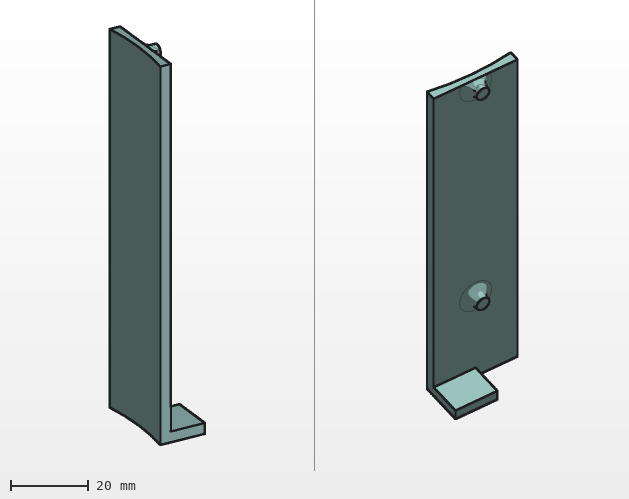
import cadquery as cq

plate_width = 25.9
plate_height = 108.0
plate_thickness = 3.1
hollow_depth = 1.1

overall_depth = 13.3
tab_length = overall_depth - plate_thickness
tab_width = plate_width / 2
tab_thickness = 3.1

peg_length = 3.5
peg_radius = 1.9
peg_fillet = 3.0
upper_peg_height = 105.5
peg_spacing = 76.3
peg_heights = (upper_peg_height, upper_peg_height - peg_spacing)


def make_plate():
    half_width = plate_width / 2
    return (
        cq.Workplane("XY")
        .moveTo(-half_width, plate_thickness)
        .lineTo(-half_width, 0)
        .threePointArc((0, hollow_depth), (half_width, 0))
        .lineTo(half_width, plate_thickness)
        .close()
        .extrude(plate_height)
    )


def make_tab():
    tab = cq.Workplane("XY").box(tab_width, tab_length, tab_thickness, centered=False)
    return tab.translate((0, plate_thickness, 0))


def add_peg(body, height):
    """Add one peg and fillet its root; near the plate's top the fillet ends on the plate's edge."""
    peg = (
        cq.Workplane("XZ", origin=(0, plate_thickness, height))
        .circle(peg_radius)
        .extrude(-peg_length)
    )
    root_edge = cq.selectors.NearestToPointSelector((0, plate_thickness, height))
    return body.union(peg).edges("%CIRCLE").edges(root_edge).fillet(peg_fillet)


result = make_plate()
for peg_height in peg_heights:
    result = add_peg(result, peg_height)
result = result.union(make_tab())